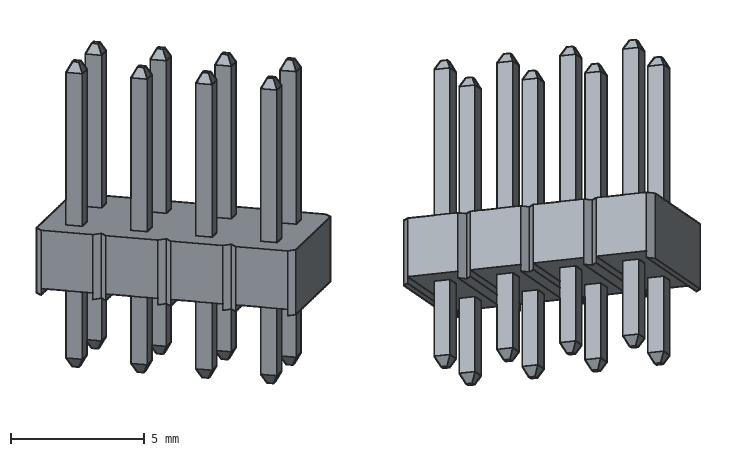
import cadquery as cq

PITCH = 2.54
COLUMNS = 4
ROWS = 2

HOUSING_WIDTH = ROWS * PITCH
HOUSING_HEIGHT = 2.54
CORNER_CHAMFER = 0.254
CHANNEL_DEPTH = 0.254
CHANNEL_WIDTH = PITCH - 2 * CORNER_CHAMFER

PIN_WIDTH = 0.64
PIN_LENGTH = 11.94
PIN_BELOW_HOUSING = 3.05
TIP_HEIGHT = 0.38
TIP_WIDTH = 0.25


def centred_positions(count):
    """Positions at the pin pitch, centred on zero."""
    return [(index - (count - 1) / 2) * PITCH for index in range(count)]


COLUMN_POSITIONS = centred_positions(COLUMNS)
ROW_POSITIONS = centred_positions(ROWS)


def make_cell(x):
    """One column of the housing: a chamfered block with a channel along Y underneath."""
    block = (
        cq.Workplane("XY")
        .box(PITCH, HOUSING_WIDTH, HOUSING_HEIGHT, centered=(True, True, False))
        .edges("|Z")
        .chamfer(CORNER_CHAMFER)
    )
    channel = cq.Workplane("XY").box(
        CHANNEL_WIDTH, HOUSING_WIDTH, CHANNEL_DEPTH, centered=(True, True, False)
    )
    return block.cut(channel).translate((x, 0, 0))


def make_housing():
    """Cells side by side; neighbouring chamfers form the V notches."""
    housing = make_cell(COLUMN_POSITIONS[0])
    for x in COLUMN_POSITIONS[1:]:
        housing = housing.union(make_cell(x))
    return housing.clean()


def make_tip(base_z, direction):
    """Tapered square tip pointing up (direction 1) or down (direction -1)."""
    return (
        cq.Workplane("XY", origin=(0, 0, base_z))
        .rect(PIN_WIDTH, PIN_WIDTH)
        .workplane(offset=direction * TIP_HEIGHT)
        .rect(TIP_WIDTH, TIP_WIDTH)
        .loft(ruled=True)
    )


def make_pin():
    """Square pin with a tapered tip at both ends."""
    shaft_bottom = TIP_HEIGHT - PIN_BELOW_HOUSING
    shaft_length = PIN_LENGTH - 2 * TIP_HEIGHT
    shaft = (
        cq.Workplane("XY", origin=(0, 0, shaft_bottom))
        .rect(PIN_WIDTH, PIN_WIDTH)
        .extrude(shaft_length)
    )
    upper_tip = make_tip(shaft_bottom + shaft_length, 1)
    lower_tip = make_tip(shaft_bottom, -1)
    return shaft.union(upper_tip).union(lower_tip)


result = make_housing()
pin = make_pin()
for pin_x in COLUMN_POSITIONS:
    for pin_y in ROW_POSITIONS:
        result = result.union(pin.translate((pin_x, pin_y, 0)))